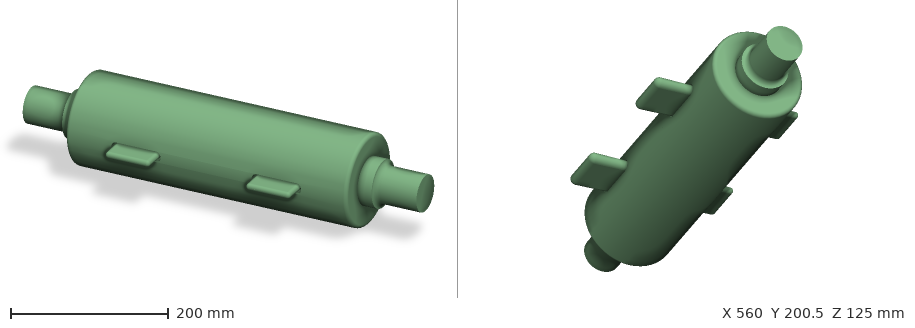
import cadquery as cq

total_length = 560.0

drum_length = 400.0
drum_diameter = 125.0
drum_edge_radius = 5.0

collar_length = 20.0
collar_diameter = 65.0
journal_diameter = 50.0

wedge_spacing = 200.0
wedge_flat_width = 54.0
wedge_back_thickness = 15.0
wedge_front_thickness = 9.0
wedge_back_y = 112.5
wedge_front_y = -88.0

slot_width = 70.5
slot_thickness = 15.0

drum_radius = drum_diameter / 2
collar_radius = collar_diameter / 2
journal_radius = journal_diameter / 2
drum_end = drum_length / 2
collar_end = drum_end + collar_length
shaft_end = total_length / 2
wedge_centers = [-wedge_spacing / 2, wedge_spacing / 2]


def make_stub_shaft(side):
    """Collar, concave shoulder and journal on one drum end; side is -1 or +1 along X."""
    shoulder_radius = collar_radius - journal_radius
    arc_inset = shoulder_radius * (1 - 0.5 ** 0.5)
    return (
        cq.Workplane("XY")
        .moveTo(side * drum_end, 0)
        .lineTo(side * drum_end, collar_radius)
        .lineTo(side * collar_end, collar_radius)
        .threePointArc(
            (side * (collar_end + arc_inset), journal_radius + arc_inset),
            (side * (collar_end + shoulder_radius), journal_radius),
        )
        .lineTo(side * shaft_end, journal_radius)
        .lineTo(side * shaft_end, 0)
        .close()
        .revolve(360, (0, 0, 0), (1, 0, 0))
    )


def make_slot_cutter(x):
    """Straight round-ended bar that crosses the whole drum along Y."""
    return (
        cq.Workplane("XZ")
        .center(x, 0)
        .slot2D(slot_width, slot_thickness)
        .extrude(drum_diameter, both=True)
    )


def make_roller():
    """Round-edged drum with a stub shaft on each end and the wedge slots cut through."""
    roller = (
        cq.Workplane("YZ")
        .circle(drum_radius)
        .extrude(drum_end, both=True)
        .edges("%CIRCLE")
        .fillet(drum_edge_radius)
    )
    for side in (-1, 1):
        roller = roller.union(make_stub_shaft(side))
    for x in wedge_centers:
        roller = roller.cut(make_slot_cutter(x))
    return roller


def make_tip(x, y, thickness, inward):
    """Rounded wedge tip ending at y; inward is the Y direction into the wedge."""
    radius = thickness / 2
    corner_y = y + inward * radius
    half_flat = wedge_flat_width / 2
    tip = cq.Workplane("YZ", origin=(x - half_flat, corner_y, 0)).circle(radius).extrude(wedge_flat_width)
    for corner_x in (x - half_flat, x + half_flat):
        tip = tip.union(cq.Workplane("XY", origin=(corner_x, corner_y, 0)).sphere(radius))
    return tip


def make_wedge(x):
    """Tapered bar with round sides and full-round tips."""
    back_radius = wedge_back_thickness / 2
    front_radius = wedge_front_thickness / 2
    body_length = wedge_back_y - wedge_front_y - back_radius - front_radius
    body = (
        cq.Workplane("XZ", origin=(x, wedge_back_y - back_radius, 0))
        .slot2D(wedge_flat_width + wedge_back_thickness, wedge_back_thickness)
        .workplane(offset=body_length)
        .slot2D(wedge_flat_width + wedge_front_thickness, wedge_front_thickness)
        .loft(ruled=True)
    )
    back_tip = make_tip(x, wedge_back_y, wedge_back_thickness, -1)
    front_tip = make_tip(x, wedge_front_y, wedge_front_thickness, 1)
    return body.union(back_tip).union(front_tip)


def make_wedge_half(x, side):
    """Half of a wedge above (side +1) or below (side -1) the plane Z = 0."""
    wedge = make_wedge(x).copyWorkplane(cq.Workplane("XY"))
    return wedge.split(keepTop=side > 0, keepBottom=side < 0)


roller = make_roller()
wedge_halves = [make_wedge_half(x, side) for x in wedge_centers for side in (-1, 1)]

result = cq.Compound.makeCompound([roller.val()] + [half.val() for half in wedge_halves])